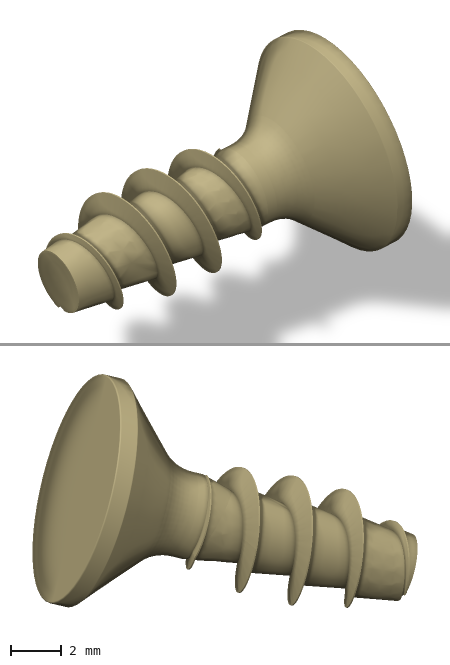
import cadquery as cq
import math

length = 14.0
pitch = 2.24

head_radius = 4.65
head_rim_depth = 0.74
head_edge_radius = 0.05
neck_radius = 1.72
neck_fillet_radius = 2.0
neck_start_depth = 4.51
neck_end_depth = 4.95
neck_taper = 0.28
shank_radius = 1.26

tip_radius = 1.36
tip_taper = 0.15
tip_dish_radius = 1.27
tip_dish_depth = 0.07

core_radius = 1.68
core_taper = 0.16
core_width = 0.94 * pitch
core_first_turn = -0.5

thread_depth = 5.07
thread_radius = 2.5
thread_start_radius = 2.02
crest_half_width = 0.03
flank_slope = math.tan(math.radians(15))
buried_radius = 0.98
full_thread_turn = 0.9
fade_turn = 2.55
last_turn = 4.1
fade_rate = 0.77
run_in_turns = 0.34
run_in_radius = 1.82
run_in_depth = 4.93

points_per_turn = 24
min_steps = 6


def crest_depth(turn):
    return thread_depth + pitch * turn


def helix_point(turn, radius, depth):
    angle = 2 * math.pi * turn
    return cq.Vector(radius * math.sin(angle), -depth, -radius * math.cos(angle))


def helical_solid(section, breaks):
    """Solid swept by section(turn), a list of (radius, depth) corners, with creases at the breaks."""
    faces = []
    corner_count = len(section(breaks[0]))
    for first, last in zip(breaks, breaks[1:]):
        steps = max(min_steps, math.ceil(points_per_turn * (last - first)))
        turns = [first + (last - first) * i / steps for i in range(steps + 1)]
        edges = []
        for corner in range(corner_count):
            path = [helix_point(turn, *section(turn)[corner]) for turn in turns]
            edges.append(cq.Edge.makeSpline(path, parameters=turns))
        for corner in range(corner_count):
            faces.append(cq.Face.makeRuledSurface(edges[corner - 1], edges[corner]))
    for turn in (breaks[0], breaks[-1]):
        outline = [helix_point(turn, *corner) for corner in section(turn)]
        faces.append(cq.Face.makeFromWires(cq.Wire.makePolygon(outline, close=True)))
    solid = cq.Solid.makeSolid(cq.Shell.makeShell(faces))
    return cq.Workplane(obj=solid.fix())


def revolved(outline):
    return outline.close().revolve(360, (0, 0, 0), (0, 1, 0))


def make_head():
    fillet_drop = neck_fillet_radius * (1 - math.cos(math.pi / 4))
    fillet_run = neck_fillet_radius * math.sin(math.pi / 4)
    half_drop = neck_fillet_radius * (1 - math.cos(math.pi / 8))
    half_run = neck_fillet_radius * math.sin(math.pi / 8)
    neck_cone_depth = (neck_radius - shank_radius) / neck_taper
    head = revolved(
        cq.Workplane("ZY")
        .lineTo(head_radius, 0)
        .lineTo(head_radius, -head_rim_depth)
        .lineTo(neck_radius + fillet_drop, -neck_start_depth + fillet_run)
        .threePointArc(
            (neck_radius + half_drop, -neck_start_depth + half_run),
            (neck_radius, -neck_start_depth),
        )
        .lineTo(neck_radius, -neck_end_depth)
        .lineTo(shank_radius, -neck_end_depth - neck_cone_depth)
        .lineTo(shank_radius, -length)
        .lineTo(0, -length)
    )
    margin = head_rim_depth / 4
    rim = cq.selectors.BoxSelector(
        (-margin, margin, -margin), (margin, -head_rim_depth - margin, margin)
    )
    return head.edges("%CIRCLE").edges(rim).fillet(head_edge_radius)


def core_section(turn):
    start = crest_depth(turn)
    end = start + core_width
    return [
        (buried_radius, start),
        (core_radius, start),
        (core_radius - core_taper * core_width, end),
        (buried_radius, end),
    ]


def make_core():
    """Helical core, trimmed to the plain cone of the tip."""
    tip_cone_length = length / 2
    tip_cone = revolved(
        cq.Workplane("ZY", origin=(0, -length, 0))
        .lineTo(tip_radius, 0)
        .lineTo(tip_radius + tip_taper * tip_cone_length, tip_cone_length)
        .lineTo(head_radius, length - neck_start_depth)
        .lineTo(0, length - neck_start_depth)
    )
    core = helical_solid(core_section, [core_first_turn, last_turn])
    return core.intersect(tip_cone)


def flank_width(radius):
    return flank_slope * (radius - buried_radius)


def fin_corners(radius, middle, root_half_width):
    return [
        (buried_radius, middle - root_half_width),
        (radius, middle - crest_half_width),
        (radius, middle + crest_half_width),
        (buried_radius, middle + root_half_width),
    ]


def thread_section(turn):
    """Triangular thread with a crest that rises, runs level and fades out."""
    rise = (thread_radius - thread_start_radius) * (turn / full_thread_turn - 1)
    fade = fade_rate * (fade_turn - turn)
    radius = thread_radius + min(rise, 0, fade)
    root_half_width = crest_half_width + flank_width(radius)
    return fin_corners(radius, crest_depth(turn), root_half_width)


def run_in_section(turn):
    """Thin fin that grows out of the neck end into the start of the thread."""
    growth = 1 + turn / run_in_turns
    radius = run_in_radius + (thread_start_radius - run_in_radius) * math.sin(growth * math.pi / 2)
    root_half_width = crest_half_width + flank_width(thread_start_radius) * growth
    middle = run_in_depth + (thread_depth - run_in_depth) * growth
    return fin_corners(radius, middle, root_half_width)


def make_tip_dish():
    return revolved(
        cq.Workplane("ZY", origin=(0, -length, 0))
        .lineTo(tip_dish_radius, 0)
        .threePointArc(
            (tip_dish_radius / 2, tip_dish_depth * 3 / 4),
            (0, tip_dish_depth),
        )
    )


def make_end_trim():
    """Block below the tip that squares off the thread run-out."""
    return cq.Workplane("XZ", origin=(0, -length, 0)).rect(length, length).extrude(pitch)


thread = helical_solid(thread_section, [0, full_thread_turn, fade_turn, last_turn])
run_in = helical_solid(run_in_section, [-run_in_turns, 0])

result = (
    make_head()
    .union(make_core())
    .union(thread)
    .union(run_in)
    .cut(make_end_trim())
    .cut(make_tip_dish())
)